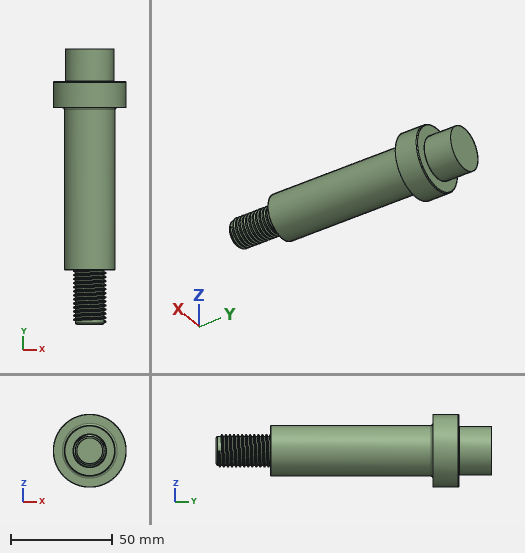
import cadquery as cq
import math


head_length = 16.0
collar_length = 13.0
barrel_length = 80.0
stud_length = 27.0
total_length = head_length + collar_length + barrel_length + stud_length

tip_y = -total_length / 2
barrel_end_y = tip_y + stud_length
collar_front_y = barrel_end_y + barrel_length
collar_back_y = collar_front_y + collar_length
head_end_y = collar_back_y + head_length

collar_radius = 36.0 / 2
barrel_radius = 25.0 / 2
bore_radius = 16.5 / 2
collar_chamfer = 0.5
barrel_chamfer = 0.25
neck_fillet = 1.0

head_radius = 24.0 / 2
head_chamfer = 0.25
core_radius = 14.3 / 2
tip_chamfer = 0.8

thread_radius = 16.0 / 2
thread_pitch = 2.0
thread_crest_width = 0.25
flank_angle = math.radians(30)
thread_tip_gap = 1.45
thread_turns = 13.2
thread_embed = 0.2


def make_sleeve():
    """Bored barrel with a collar at its +Y end, revolved from its half section."""
    neck_radius = barrel_radius + neck_fillet
    neck_centre_y = collar_front_y - neck_fillet
    neck_reach = neck_fillet * (1 - math.sqrt(0.5))
    section = (
        cq.Workplane("YZ")
        .moveTo(barrel_end_y, bore_radius)
        .lineTo(barrel_end_y, barrel_radius - barrel_chamfer)
        .lineTo(barrel_end_y + barrel_chamfer, barrel_radius)
        .lineTo(neck_centre_y, barrel_radius)
        .threePointArc(
            (collar_front_y - neck_reach, barrel_radius + neck_reach),
            (collar_front_y, neck_radius),
        )
        .lineTo(collar_front_y, collar_radius)
        .lineTo(collar_back_y - collar_chamfer, collar_radius)
        .lineTo(collar_back_y, collar_radius - collar_chamfer)
        .lineTo(collar_back_y, bore_radius)
        .close()
    )
    return section.revolve(360, (0, 0, 0), (1, 0, 0))


def make_thread():
    """Right-handed helical ridge, starting on the +X side near the pin tip."""
    base_radius = core_radius - thread_embed
    crest_half = thread_crest_width / 2
    base_half = crest_half + (thread_radius - base_radius) * math.tan(flank_angle)
    helix = cq.Wire.makeHelix(thread_pitch, thread_turns * thread_pitch, core_radius)
    ridge = (
        cq.Workplane("XZ")
        .moveTo(base_radius, -base_half)
        .lineTo(thread_radius, -crest_half)
        .lineTo(thread_radius, crest_half)
        .lineTo(base_radius, base_half)
        .close()
        .sweep(cq.Workplane(obj=helix), isFrenet=True)
    )
    along_y = ridge.rotate((0, 0, 0), (1, 0, 0), -90)
    return along_y.translate((0, tip_y + thread_tip_gap, 0))


def make_pin():
    """Headed pin: a stem filling the sleeve bore, then a threaded stud."""
    section = (
        cq.Workplane("YZ")
        .moveTo(tip_y, 0)
        .lineTo(tip_y, core_radius - tip_chamfer)
        .lineTo(tip_y + tip_chamfer, core_radius)
        .lineTo(barrel_end_y, core_radius)
        .lineTo(barrel_end_y, bore_radius)
        .lineTo(collar_back_y, bore_radius)
        .lineTo(collar_back_y, head_radius - head_chamfer)
        .lineTo(collar_back_y + head_chamfer, head_radius)
        .lineTo(head_end_y, head_radius)
        .lineTo(head_end_y, 0)
        .close()
    )
    shank = section.revolve(360, (0, 0, 0), (1, 0, 0))
    return shank.union(make_thread())


sleeve = make_sleeve()
pin = make_pin()

result = cq.Compound.makeCompound([sleeve.val(), *pin.vals()])